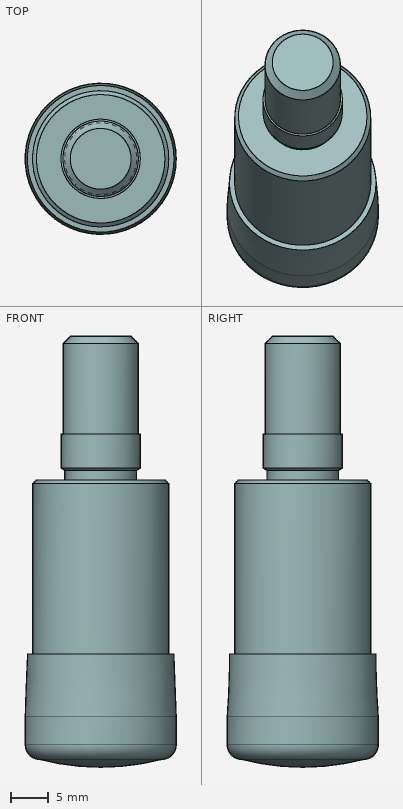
import cadquery as cq
import math

overall_height = 57.0
collar_top = 44.05
collar_bottom = 39.55
barrel_top = 38.0
cap_top = 15.0
flare_bottom = 6.7

stud_radius = 10.0 / 2
stud_chamfer = 0.95
collar_radius = 10.5 / 2
neck_radius = 9.5 / 2
barrel_radius = 18.0 / 2
barrel_chamfer = 0.5
relief_height = 0.3

cap_radius = 20.0 / 2
cap_top_radius = 9.7
dome_height = 1.0
cap_fillet = 2.0

dome_rim_radius = cap_radius - cap_fillet
fillet_top = dome_height + cap_fillet
fillet_middle = (
    dome_rim_radius + cap_fillet * math.sin(math.pi / 4),
    fillet_top - cap_fillet * math.cos(math.pi / 4),
)

dome_radius = (dome_rim_radius ** 2 + dome_height ** 2) / (2 * dome_height)
dome_half_angle = math.asin(dome_rim_radius / dome_radius) / 2
dome_middle = (
    dome_radius * math.sin(dome_half_angle),
    dome_radius * (1 - math.cos(dome_half_angle)),
)


def revolve_profile(profile):
    """Turn a closed radius-height profile around the Z axis."""
    return profile.close().revolve(360, (0, 0, 0), (0, 1, 0))


def make_stud_body():
    """Barrel with a necked, collared stud, in one piece."""
    profile = (
        cq.Workplane("XZ")
        .moveTo(0, cap_top)
        .lineTo(barrel_radius, cap_top)
        .lineTo(barrel_radius, barrel_top - barrel_chamfer)
        .lineTo(barrel_radius - barrel_chamfer, barrel_top)
        .lineTo(neck_radius, barrel_top)
        .lineTo(neck_radius, collar_bottom - relief_height)
        .lineTo(collar_radius, collar_bottom)
        .lineTo(collar_radius, collar_top)
        .lineTo(stud_radius, collar_top)
        .lineTo(stud_radius, overall_height - stud_chamfer)
        .lineTo(stud_radius - stud_chamfer, overall_height)
        .lineTo(0, overall_height)
    )
    return revolve_profile(profile)


def make_cap():
    """Domed end cap, flaring from its flat top face to a straight band."""
    profile = (
        cq.Workplane("XZ")
        .moveTo(0, 0)
        .threePointArc(dome_middle, (dome_rim_radius, dome_height))
        .threePointArc(fillet_middle, (cap_radius, fillet_top))
        .lineTo(cap_radius, flare_bottom)
        .lineTo(cap_top_radius, cap_top)
        .lineTo(0, cap_top)
    )
    return revolve_profile(profile)


stud_body = make_stud_body()
cap = make_cap()

result = cq.Compound.makeCompound([stud_body.val(), cap.val()])